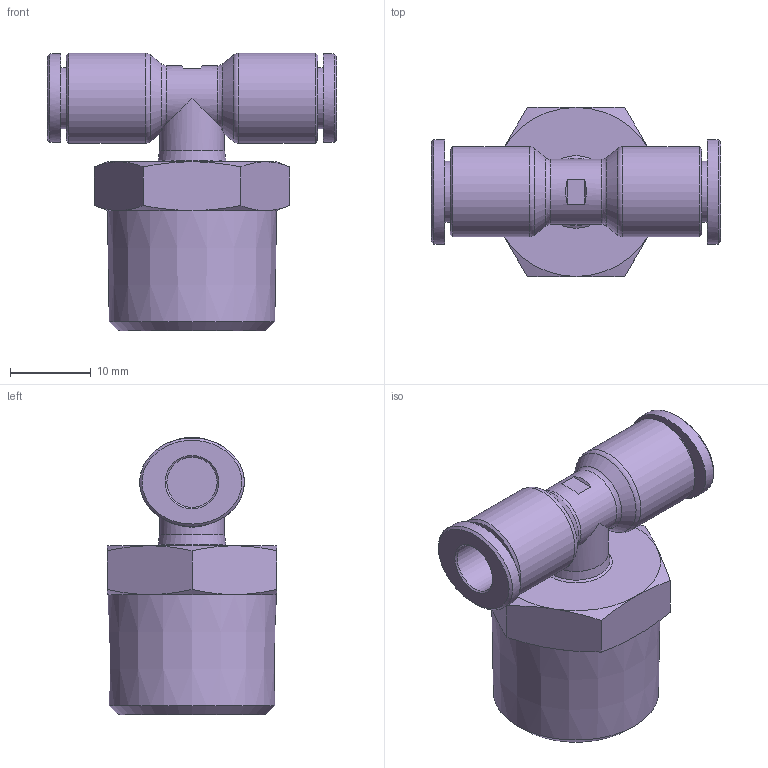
import cadquery as cq
import math

thread_length = 14.95
thread_top_radius = 10.5
thread_tip_radius = 10.28
tip_chamfer_height = 1.15
tip_chamfer_width = 1.2

hex_across_flats = 21.0
hex_height = 6.05
hex_corner_drop = 0.62

run_axis_z = 28.9
neck_radius = 4.03
stem_flare_height = 1.2
stem_flare_radius = 4.2
stem_foot_height = 0.2
stem_foot_radius = 4.5

socket_radius = 5.6
shoulder_start_x = 3.5
shoulder_end_x = 5.45
shoulder_blend_radius = 1.0
socket_end_x = 15.6
socket_chamfer = 0.3

collar_end_x = 17.95
collar_thickness = 1.65
collar_width = 13.0
collar_height = 11.0
collar_chamfer = 0.3
sleeve_radius = 3.8
bore_radius = 3.12
bore_depth = 12.0
bore_chamfer = 0.2

recess_floor_length = 2.15
recess_top_length = 2.55
recess_depth = 0.31

hex_bottom_z = thread_length
hex_top_z = hex_bottom_z + hex_height


def make_thread():
    outline = (
        cq.Workplane("XZ")
        .lineTo(thread_tip_radius - tip_chamfer_width, 0)
        .lineTo(thread_tip_radius, tip_chamfer_height)
        .lineTo(thread_top_radius, thread_length)
        .lineTo(0, thread_length)
        .close()
    )
    return outline.revolve(360, (0, 0), (0, 1))


def make_hexagon():
    """Hexagon with flats across Y, its corners bevelled by cones above and below."""
    flat_radius = hex_across_flats / 2
    corner_radius = flat_radius / math.cos(math.pi / 6)
    prism = (
        cq.Workplane("XY")
        .workplane(offset=hex_bottom_z)
        .polygon(6, 2 * corner_radius)
        .extrude(hex_height)
    )
    bevelled_disc = (
        cq.Workplane("XZ")
        .moveTo(0, hex_bottom_z)
        .lineTo(flat_radius, hex_bottom_z)
        .lineTo(corner_radius, hex_bottom_z + hex_corner_drop)
        .lineTo(corner_radius, hex_top_z - hex_corner_drop)
        .lineTo(flat_radius, hex_top_z)
        .lineTo(0, hex_top_z)
        .close()
        .revolve(360, (0, 0), (0, 1))
    )
    return prism.intersect(bevelled_disc)


def make_stem():
    """Vertical branch, flared at its foot and ending on the run axis."""
    foot_top_z = hex_top_z + stem_foot_height
    outline = (
        cq.Workplane("XZ")
        .moveTo(0, hex_top_z)
        .lineTo(stem_foot_radius, hex_top_z)
        .lineTo(stem_flare_radius, foot_top_z)
        .lineTo(neck_radius, foot_top_z + stem_flare_height)
        .lineTo(neck_radius, run_axis_z)
        .lineTo(0, run_axis_z)
        .close()
    )
    return outline.revolve(360, (0, 0), (0, 1))


def make_half_run():
    """Half of the run on the +X side: neck, blended shoulder and socket."""
    shoulder_angle = math.atan2(socket_radius - neck_radius, shoulder_end_x - shoulder_start_x)
    tangent_length = shoulder_blend_radius * math.tan(shoulder_angle / 2)
    tangent_dx = tangent_length * math.cos(shoulder_angle)
    tangent_dr = tangent_length * math.sin(shoulder_angle)
    outline = (
        cq.Workplane("XY")
        .lineTo(0, neck_radius)
        .lineTo(shoulder_start_x - tangent_length, neck_radius)
        .tangentArcPoint((shoulder_start_x + tangent_dx, neck_radius + tangent_dr), relative=False)
        .lineTo(shoulder_end_x - tangent_dx, socket_radius - tangent_dr)
        .tangentArcPoint((shoulder_end_x + tangent_length, socket_radius), relative=False)
        .lineTo(socket_end_x - socket_chamfer, socket_radius)
        .lineTo(socket_end_x, socket_radius - socket_chamfer)
        .lineTo(socket_end_x, 0)
        .close()
    )
    return outline.revolve(360, (0, 0), (1, 0)).translate((0, 0, run_axis_z))


def make_collar():
    """Sleeve and oval release collar on the +X side."""
    collar_start_x = collar_end_x - collar_thickness
    sleeve = (
        cq.Workplane("YZ", origin=(socket_end_x, 0, run_axis_z))
        .circle(sleeve_radius)
        .extrude(collar_start_x - socket_end_x)
    )
    collar = (
        cq.Workplane("YZ", origin=(collar_start_x, 0, run_axis_z))
        .ellipse(collar_width / 2, collar_height / 2)
        .extrude(collar_thickness)
        .faces(">X")
        .chamfer(collar_chamfer)
    )
    return sleeve.union(collar)


def make_bore():
    """Blind tube bore on the +X side with a chamfered mouth."""
    outline = (
        cq.Workplane("XY")
        .moveTo(collar_end_x - bore_depth, 0)
        .lineTo(collar_end_x - bore_depth, bore_radius)
        .lineTo(collar_end_x - bore_chamfer, bore_radius)
        .lineTo(collar_end_x, bore_radius + bore_chamfer)
        .lineTo(collar_end_x, 0)
        .close()
    )
    return outline.revolve(360, (0, 0), (1, 0)).translate((0, 0, run_axis_z))


def make_recess():
    """Trapezoidal cutter that leaves a flat across the top of the neck."""
    neck_top_z = run_axis_z + neck_radius
    floor_z = neck_top_z - recess_depth
    outline = (
        cq.Workplane("XZ")
        .moveTo(-recess_floor_length / 2, floor_z)
        .lineTo(recess_floor_length / 2, floor_z)
        .lineTo(recess_top_length / 2, neck_top_z)
        .lineTo(-recess_top_length / 2, neck_top_z)
        .close()
    )
    return outline.extrude(neck_radius, both=True)


half_run = make_half_run().union(make_collar()).cut(make_bore())

result = (
    make_thread()
    .union(make_hexagon())
    .union(make_stem())
    .union(half_run)
    .union(half_run.mirror("YZ"))
    .cut(make_recess())
)